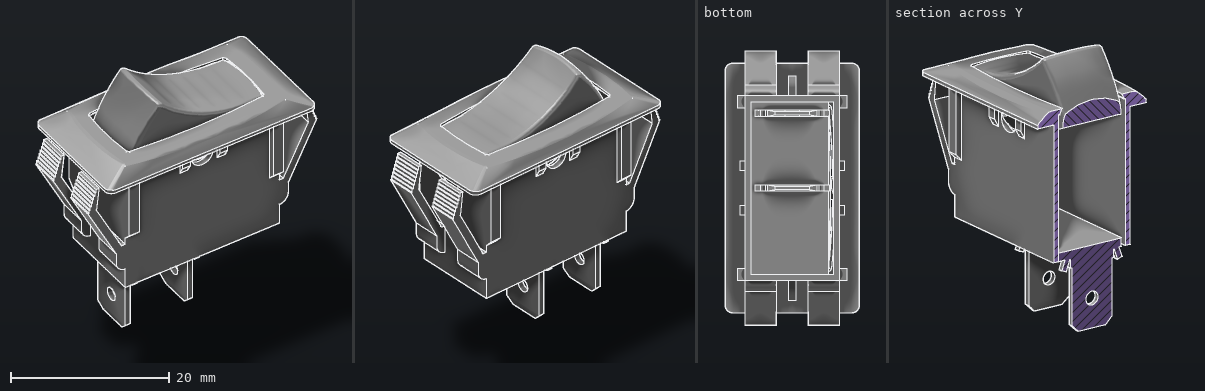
import cadquery as cq
import math


BEZEL_X = 17.0
BEZEL_Y = 31.6
RIM_HEIGHT = 0.5
BEZEL_TOP = 2.0
RIM_CORNER_RADIUS = 1.0
SLOPE_CORNER_RADIUS = 0.5
TOP_CORNER_X = 6.45
TOP_CORNER_Y = 12.1
TOP_BULGE_X = 0.95
TOP_BULGE_Y = 0.62
TOP_CORNER_CUT = 0.3
TOP_EDGE_RADIUS = 1.15

OPENING_CORNER_X = 4.6
OPENING_CORNER_Y = 10.4
OPENING_BULGE_X = 0.52
OPENING_BULGE_Y = 0.25
OPENING_CORNER_CUT = 0.3
OPENING_DRAFT = 25.0

BODY_X = 12.0
BODY_Y = 23.4
BODY_BOTTOM = -18.5
WALL = 0.8

RAIL_PROJECTION = 0.9
RAIL_WIDTH = 1.55
RAIL_STRAIGHT_END = -9.5
RAIL_CHAMFER_HEIGHT = 0.95
SHORT_RIB_PROJECTION = 0.6
SHORT_RIB_WIDTH = 1.2
SHORT_RIB_OFFSET = 2.83
SHORT_RIB_STRAIGHT_END = -2.5
SHORT_RIB_CHAMFER_HEIGHT = 1.1
END_RIB_PROJECTION = 2.5
END_RIB_WIDTH = 1.0
END_RIB_STRAIGHT_END = -1.6
END_RIB_CHAMFER_HEIGHT = 4.2

ARM_WIDTH = 4.0
ARM_CENTER_X = BODY_X / 2 - ARM_WIDTH / 2
ARM_TIP_Z = -0.55
ARM_TIP_INNER_Y = 15.65
ARM_TIP_OUTER_Y = 16.15
ARM_KNEE_Z = -4.0
ARM_KNEE_INNER_Y = 16.05
ARM_KNEE_OUTER_Y = 17.35
ARM_STEPS = 7
ARM_ROOT_INNER_Y = 12.25
ARM_ROOT_INNER_Z = -11.45
ARM_ROOT_OUTER_Y = 13.05
ARM_ROOT_OUTER_Z = -12.45
ARM_ROOT_BOTTOM = -15.5
ARM_ROOT_RADIUS = 1.5

PIVOT_Z = -2.1
PIVOT_HOLE_DIAMETER = 3.2
PIN_DIAMETER = 2.95
PIN_END_X = 5.9
PIN_BEVEL_START = 0.58
PIN_BEVEL_ANGLE = 25.0

ROCKER_TILT = 20.0
ROCKER_BOTTOM = -2.0
ROCKER_SIDE_MID_X = 4.85
ROCKER_SIDE_END_X = 4.5
ROCKER_TOP_Y = 8.78
ROCKER_TOP_Z = 7.57
ROCKER_END_MID_Y = 10.12
ROCKER_END_MID_Z = 3.5
ROCKER_END_Y = 10.65
ROCKER_END_PLAN_RADIUS = 18.0
ROCKER_DISH_Z = 5.55
ROCKER_EDGE_RADIUS = 0.6

BASE_THICKNESS = 1.2
BASE_EDGE_X = 4.6
TERMINAL_PITCH = 9.45
TERMINAL_THICKNESS = 0.8
BLADE_WIDTH = 6.3
BLADE_TIP_Z = -28.5
BLADE_TIP_CHAMFER = 1.0
BLADE_TIP_THICKNESS = 0.4
BLADE_HOLE_DIAMETER = 1.8
BLADE_HOLE_Z = -24.45
SHOULDER_WIDTH = 6.8
SHOULDER_END_Z = -19.75
LUG_ROOT_X = 4.25
LUG_SPREAD = 20.0
LUG_THICKNESS = 0.8
LUG_LENGTH = 1.42

INNER_X = BODY_X / 2 - WALL
INNER_Y = BODY_Y / 2 - WALL
CAVITY_TOP = BEZEL_TOP - WALL


def barrel(plane, corner_x, corner_y, bulge_x, bulge_y, cut):
    """Four bowed sides joined by short corner cuts."""
    x, y = corner_x, corner_y
    return (
        plane.moveTo(x - cut, -y)
        .lineTo(x, -y + cut)
        .threePointArc((x + bulge_x, 0), (x, y - cut))
        .lineTo(x - cut, y)
        .threePointArc((0, y + bulge_y), (-x + cut, y))
        .lineTo(-x, y - cut)
        .threePointArc((-x - bulge_x, 0), (-x, -y + cut))
        .lineTo(-x + cut, -y)
        .threePointArc((0, -y - bulge_y), (x - cut, -y))
        .close()
    )


def rounded_rectangle(plane, half_x, half_y, radius):
    """Rectangle that starts at the same corner and runs the same way as barrel()."""
    x, y, r = half_x, half_y, radius
    mid = r * (1 - math.sqrt(0.5))
    return (
        plane.moveTo(x - r, -y)
        .threePointArc((x - mid, -y + mid), (x, -y + r))
        .lineTo(x, y - r)
        .threePointArc((x - mid, y - mid), (x - r, y))
        .lineTo(-x + r, y)
        .threePointArc((-x + mid, y - mid), (-x, y - r))
        .lineTo(-x, -y + r)
        .threePointArc((-x + mid, -y + mid), (-x + r, -y))
        .close()
    )


def make_bezel():
    half_x, half_y = BEZEL_X / 2, BEZEL_Y / 2
    block = rounded_rectangle(cq.Workplane("XY"), half_x, half_y, RIM_CORNER_RADIUS).extrude(BEZEL_TOP)
    rim = cq.Workplane("XY").rect(BEZEL_X, BEZEL_Y).extrude(RIM_HEIGHT)
    lower = rounded_rectangle(
        cq.Workplane("XY").workplane(offset=RIM_HEIGHT), half_x, half_y, SLOPE_CORNER_RADIUS
    )
    upper = barrel(
        lower.workplane(offset=BEZEL_TOP - RIM_HEIGHT),
        TOP_CORNER_X, TOP_CORNER_Y, TOP_BULGE_X, TOP_BULGE_Y, TOP_CORNER_CUT,
    )
    slope = upper.loft(ruled=True)
    slope = slope.faces(">Z").edges().fillet(TOP_EDGE_RADIUS)
    return block.intersect(rim.union(slope))


def rib(width, projection, straight_end, chamfer_height):
    """Rib that stands out in +X from the plane X = 0, centred on Y = 0, chamfered at the bottom."""
    return (
        cq.Workplane("XZ", origin=(0, width / 2, 0))
        .moveTo(-WALL / 2, 0)
        .lineTo(projection, 0)
        .lineTo(projection, straight_end)
        .lineTo(0, straight_end - chamfer_height)
        .lineTo(-WALL / 2, straight_end - chamfer_height)
        .close()
        .extrude(width)
    )


def add_ribs(housing):
    rail = rib(RAIL_WIDTH, RAIL_PROJECTION, RAIL_STRAIGHT_END, RAIL_CHAMFER_HEIGHT)
    short_rib = rib(
        SHORT_RIB_WIDTH, SHORT_RIB_PROJECTION, SHORT_RIB_STRAIGHT_END, SHORT_RIB_CHAMFER_HEIGHT
    )
    end_rib = rib(END_RIB_WIDTH, END_RIB_PROJECTION, END_RIB_STRAIGHT_END, END_RIB_CHAMFER_HEIGHT)
    rail_y = BODY_Y / 2 - RAIL_WIDTH / 2
    for turn in (0, 180):
        for side in (-1, 1):
            for side_rib, offset in ((rail, rail_y), (short_rib, SHORT_RIB_OFFSET)):
                placed = side_rib.translate((BODY_X / 2, side * offset, 0))
                housing = housing.union(placed.rotate((0, 0, 0), (0, 0, 1), turn))
        placed = end_rib.translate((BODY_Y / 2, 0, 0))
        housing = housing.union(placed.rotate((0, 0, 0), (0, 0, 1), turn + 90))
    return housing


def make_arm():
    """Snap arm on the +Y end, with a stepped grip on its upper outside."""
    step_z = (ARM_TIP_Z - ARM_KNEE_Z) / ARM_STEPS
    step_y = (ARM_KNEE_OUTER_Y - ARM_TIP_OUTER_Y) / ARM_STEPS
    inside_wall = BODY_Y / 2 - WALL / 2
    arc_mid = ARM_ROOT_RADIUS * (1 - math.sqrt(0.5))
    outline = (
        cq.Workplane("YZ", origin=(-ARM_WIDTH / 2, 0, 0))
        .moveTo(inside_wall, ARM_ROOT_INNER_Z)
        .lineTo(ARM_ROOT_INNER_Y, ARM_ROOT_INNER_Z)
        .lineTo(ARM_KNEE_INNER_Y, ARM_KNEE_Z)
        .lineTo(ARM_TIP_INNER_Y, ARM_TIP_Z)
    )
    for step in range(ARM_STEPS):
        y = ARM_TIP_OUTER_Y + step * step_y
        z = ARM_TIP_Z - step * step_z
        outline = outline.lineTo(y, z).lineTo(y, z - step_z)
    return (
        outline.lineTo(ARM_KNEE_OUTER_Y, ARM_KNEE_Z)
        .lineTo(ARM_ROOT_OUTER_Y, ARM_ROOT_OUTER_Z)
        .lineTo(ARM_ROOT_OUTER_Y, ARM_ROOT_BOTTOM + ARM_ROOT_RADIUS)
        .threePointArc(
            (ARM_ROOT_OUTER_Y - arc_mid, ARM_ROOT_BOTTOM + arc_mid),
            (ARM_ROOT_OUTER_Y - ARM_ROOT_RADIUS, ARM_ROOT_BOTTOM),
        )
        .lineTo(inside_wall, ARM_ROOT_BOTTOM)
        .close()
        .extrude(ARM_WIDTH)
    )


def make_housing():
    box = cq.Workplane("XY").rect(BODY_X, BODY_Y).extrude(BODY_BOTTOM)
    housing = make_bezel().union(box)
    housing = add_ribs(housing)
    arm = make_arm()
    for turn in (0, 180):
        for side in (-1, 1):
            placed = arm.translate((side * ARM_CENTER_X, 0, 0))
            housing = housing.union(placed.rotate((0, 0, 0), (0, 0, 1), turn))
    cavity = (
        cq.Workplane("XY", origin=(0, 0, CAVITY_TOP))
        .rect(2 * INNER_X, 2 * INNER_Y)
        .extrude(BODY_BOTTOM - CAVITY_TOP)
    )
    opening = barrel(
        cq.Workplane("XY", origin=(0, 0, BEZEL_TOP)),
        OPENING_CORNER_X, OPENING_CORNER_Y, OPENING_BULGE_X, OPENING_BULGE_Y, OPENING_CORNER_CUT,
    ).extrude(-WALL, taper=-OPENING_DRAFT)
    pivot_hole = (
        cq.Workplane("YZ", origin=(0, 0, PIVOT_Z))
        .circle(PIVOT_HOLE_DIAMETER / 2)
        .extrude(BODY_X / 2, both=True)
    )
    return housing.cut(cavity).cut(opening).cut(pivot_hole)


def rocker_end_envelope():
    """Turned solid whose -Y side is the end face, bowed both in plan and in side profile."""
    axis_y = ROCKER_END_PLAN_RADIUS - ROCKER_END_Y
    return (
        cq.Workplane("YZ")
        .moveTo(axis_y, ROCKER_BOTTOM)
        .lineTo(-ROCKER_END_Y, ROCKER_BOTTOM)
        .lineTo(-ROCKER_END_Y, 0)
        .threePointArc((-ROCKER_END_MID_Y, ROCKER_END_MID_Z), (-ROCKER_TOP_Y, ROCKER_TOP_Z))
        .lineTo(axis_y, ROCKER_TOP_Z)
        .close()
        .revolve(360, (axis_y, 0, 0), (axis_y, 1, 0))
    )


def rocker_pin():
    """Pivot pin through the rocker, bevelled on the lower part of both ends."""
    radius = PIN_DIAMETER / 2
    bevel_drop = PIN_BEVEL_START + radius
    bevel_depth = bevel_drop * math.tan(math.radians(PIN_BEVEL_ANGLE))
    side_profile = (
        cq.Workplane("XZ")
        .moveTo(PIN_END_X, radius)
        .lineTo(PIN_END_X, PIN_BEVEL_START)
        .lineTo(PIN_END_X - bevel_depth, -radius)
        .lineTo(-PIN_END_X + bevel_depth, -radius)
        .lineTo(-PIN_END_X, PIN_BEVEL_START)
        .lineTo(-PIN_END_X, radius)
        .close()
        .extrude(radius, both=True)
    )
    rod = cq.Workplane("YZ").circle(radius).extrude(PIN_END_X, both=True)
    return rod.intersect(side_profile)


def make_rocker():
    sides = (
        cq.Workplane("XY", origin=(0, 0, ROCKER_BOTTOM))
        .moveTo(ROCKER_SIDE_END_X, -ROCKER_END_Y)
        .threePointArc((ROCKER_SIDE_MID_X, 0), (ROCKER_SIDE_END_X, ROCKER_END_Y))
        .lineTo(-ROCKER_SIDE_END_X, ROCKER_END_Y)
        .threePointArc((-ROCKER_SIDE_MID_X, 0), (-ROCKER_SIDE_END_X, -ROCKER_END_Y))
        .close()
        .extrude(ROCKER_TOP_Z - ROCKER_BOTTOM)
    )
    end = rocker_end_envelope()
    rocker = sides.intersect(end).intersect(end.mirror("XZ"))
    dish = (
        cq.Workplane("YZ")
        .moveTo(-ROCKER_TOP_Y, ROCKER_TOP_Z)
        .threePointArc((0, ROCKER_DISH_Z), (ROCKER_TOP_Y, ROCKER_TOP_Z))
        .close()
        .extrude(BODY_X, both=True)
    )
    rocker = rocker.cut(dish)
    bottom_edges = cq.selectors.BoxSelector(
        (-BODY_X, -BODY_Y, ROCKER_BOTTOM - 1), (BODY_X, BODY_Y, ROCKER_BOTTOM + 0.1)
    )
    rocker = rocker.edges(cq.selectors.InverseSelector(bottom_edges)).fillet(ROCKER_EDGE_RADIUS)
    rocker = rocker.union(rocker_pin())
    return rocker.rotate((0, 0, 0), (1, 0, 0), -ROCKER_TILT).translate((0, 0, PIVOT_Z))


def make_lug():
    """Splayed tab beside the blade, on the +X side, rooted inside the base plate."""
    lug = cq.Workplane("XY").box(
        LUG_THICKNESS, TERMINAL_THICKNESS, LUG_LENGTH + LUG_THICKNESS
    ).translate((-LUG_THICKNESS / 2, 0, -(LUG_LENGTH - LUG_THICKNESS) / 2))
    lug = lug.rotate((0, 0, 0), (0, 1, 0), -LUG_SPREAD)
    return lug.translate((LUG_ROOT_X, 0, BODY_BOTTOM))


def make_terminal():
    """Blade terminal centred on Y = 0, with shoulders and two lugs at its root."""
    root_z = BODY_BOTTOM + BASE_THICKNESS / 2
    half_blade = BLADE_WIDTH / 2
    half_tip = half_blade - BLADE_TIP_CHAMFER
    half_shoulder = SHOULDER_WIDTH / 2
    chamfer_z = BLADE_TIP_Z + BLADE_TIP_CHAMFER
    half_thick = TERMINAL_THICKNESS / 2
    half_tip_thick = BLADE_TIP_THICKNESS / 2
    face = (
        cq.Workplane("XZ")
        .polyline([
            (half_shoulder, root_z),
            (half_shoulder, SHOULDER_END_Z),
            (half_blade, SHOULDER_END_Z),
            (half_blade, chamfer_z),
            (half_tip, BLADE_TIP_Z),
            (-half_tip, BLADE_TIP_Z),
            (-half_blade, chamfer_z),
            (-half_blade, SHOULDER_END_Z),
            (-half_shoulder, SHOULDER_END_Z),
            (-half_shoulder, root_z),
        ])
        .close()
        .extrude(half_thick, both=True)
    )
    edge = (
        cq.Workplane("YZ")
        .polyline([
            (half_thick, root_z),
            (half_thick, chamfer_z),
            (half_tip_thick, BLADE_TIP_Z),
            (-half_tip_thick, BLADE_TIP_Z),
            (-half_thick, chamfer_z),
            (-half_thick, root_z),
        ])
        .close()
        .extrude(half_shoulder, both=True)
    )
    hole = (
        cq.Workplane("XZ", origin=(0, 0, BLADE_HOLE_Z))
        .circle(BLADE_HOLE_DIAMETER / 2)
        .extrude(TERMINAL_THICKNESS, both=True)
    )
    lug = make_lug()
    return face.intersect(edge).cut(hole).union(lug).union(lug.mirror("YZ"))


def make_contact_base():
    base = (
        cq.Workplane("XY", origin=(0, 0, BODY_BOTTOM))
        .moveTo(-INNER_X, -INNER_Y)
        .lineTo(BASE_EDGE_X, -INNER_Y)
        .lineTo(BASE_EDGE_X, INNER_Y)
        .lineTo(-INNER_X, INNER_Y)
        .close()
        .extrude(BASE_THICKNESS)
    )
    terminal = make_terminal()
    for y in (0, -TERMINAL_PITCH):
        base = base.union(terminal.translate((0, y, 0)))
    return base


housing = make_housing()
rocker = make_rocker()
contact_base = make_contact_base()

result = cq.Compound.makeCompound([
    housing.solids().val(),
    rocker.solids().val(),
    contact_base.solids().val(),
])